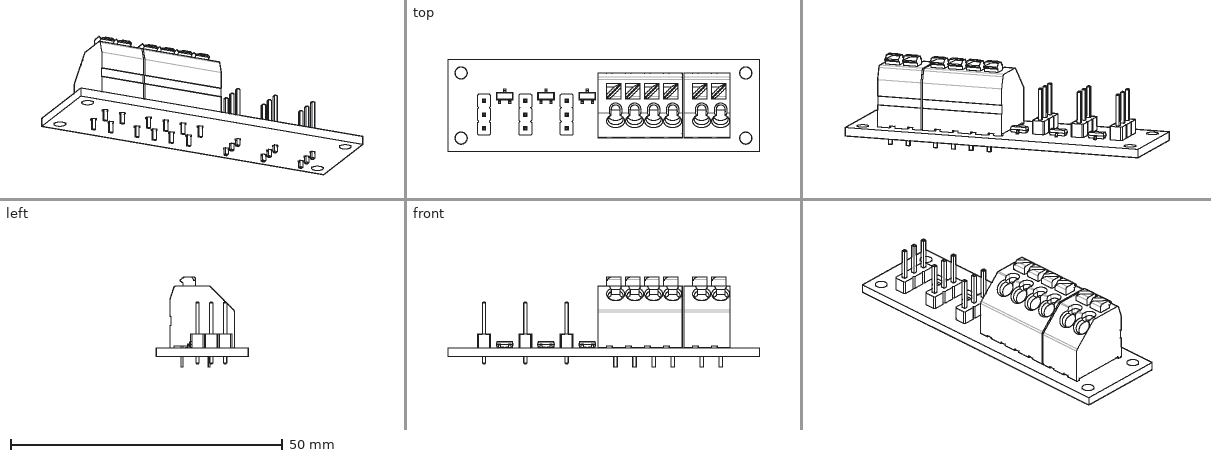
import cadquery as cq
import math


BOARD_LENGTH = 57.5
BOARD_WIDTH = 17.0
BOARD_THICKNESS = 1.6
MOUNT_HOLE_DIAMETER = 2.2
MOUNT_SPACING_X = 52.5
MOUNT_SPACING_Y = 12.0
MOUNT_CENTER_X = -0.05

HEADER_COUNT = 3
HEADER_ROW_SPAN = 15.25
HEADER_SPACING = HEADER_ROW_SPAN / (HEADER_COUNT - 1)
HEADER_PIN_COUNT = 3
HEADER_PITCH = HEADER_SPACING / 3
HEADER_WIDTH = 2.4
HEADER_HEIGHT = 2.55
HEADER_CHAMFER = 0.25
HEADER_PIN_SIZE = 0.65
HEADER_PIN_TOP = 8.45
HEADER_PIN_BOTTOM = -2.95
HEADER_PIN_TIP = 0.2
HEADER_DRILL_DIAMETER = 1.0
HEADER_FIRST_X = -22.1
HEADER_CENTER_Y = -1.65
HEADER_CENTERS_X = [HEADER_FIRST_X + i * HEADER_SPACING for i in range(HEADER_COUNT)]
HEADER_PIN_OFFSETS_Y = [(i - (HEADER_PIN_COUNT - 1) / 2) * HEADER_PITCH for i in range(HEADER_PIN_COUNT)]

TRANSISTOR_CENTERS_X = [x + HEADER_SPACING / 2 for x in HEADER_CENTERS_X]
TRANSISTOR_CENTER_Y = 1.7
TRANSISTOR_LENGTH = 3.1
TRANSISTOR_WIDTH = 1.4
TRANSISTOR_MIDDLE = 0.65
TRANSISTOR_TOP = 1.15
TRANSISTOR_DRAFT = 15
LEAD_WIDTH = 0.4
LEAD_THICKNESS = 0.1
LEAD_KNEE = 1.05
LEAD_REACH = 1.3
LEAD_PITCH = 1.9

POLE_PITCH = 3.5
FOUR_POLE_LEFT_X = -1.1
FOUR_POLE_LENGTH = 15.6
TWO_POLE_LEFT_X = 14.8
TWO_POLE_LENGTH = 8.5
FIRST_BUTTON_X = 2.95
FIRST_ENTRY_X = 3.3
FIRST_SLIT_X = 2.1

BLOCK_FRONT_Y = -6.0
BLOCK_BACK_Y = 6.0
BLOCK_HEIGHT = 11.45
SLOPE_TOP_Y = -1.4
SLOPE_ANGLE = 45
SLOPE_TOP_ROUND = 0.35
SLOPE_BOTTOM_ROUND = 0.6
BACK_SLOPE_TOP_Y = 5.2
BACK_SLOPE_BOTTOM_Z = 8.9
BACK_ROUND = 0.5
FRONT_CHAMFER = 0.1
BACK_GROOVE_DEPTH = 0.2
BACK_GROOVE_BOTTOM = 4.15
BACK_GROOVE_TOP = 5.8

FOOT_HEIGHT = 0.35
FOOT_DEPTH = 0.8
SLIT_WIDTH = 1.05

BLOCK_PIN_WIDTH = 0.7
BLOCK_PIN_THICKNESS = 0.4
BLOCK_PIN_BOTTOM = -3.55
BLOCK_PIN_ROWS_Y = [-1.25, 3.75]
BLOCK_DRILL_DIAMETER = 1.1

BUTTON_WIDTH = 2.7
BUTTON_FRONT_Y = 1.2
BUTTON_BACK_Y = 3.55
BUTTON_TOP = 13.1
BUTTON_ROUND = 0.45
LIP_START_Y = 3.4
LIP_TIP_Y = 4.1
LIP_TIP_TOP = 12.55
LIP_TIP_BOTTOM = 12.3
LIP_ROOT_Z = 12.0
GROOVE_WIDTH = 1.0
GROOVE_FLOOR = 0.2
GROOVE_DEPTH = 0.7
GROOVE_TURN = 45

ENTRY_CENTER_Y = -2.9
ENTRY_RADIUS = 1.65
ENTRY_BORE_RADIUS = 1.4
ENTRY_FLARE_DEPTH = 0.45
ENTRY_DEPTH = 1.55

PROBE_CENTER_Y = -0.7
PROBE_RADIUS = 1.15
PROBE_BORE_RADIUS = 0.8
PROBE_FLARE_DEPTH = 0.7
PROBE_LEDGE_Y = -0.8
PROBE_LINK_END_Y = -2.3


def pole_positions(first, count):
    return [first + i * POLE_PITCH for i in range(count)]


def block_pin_points(left, poles):
    return [(left + x, y) for x in pole_positions(FIRST_ENTRY_X, poles) for y in BLOCK_PIN_ROWS_Y]


def make_board():
    board = cq.Workplane("XY").box(
        BOARD_LENGTH, BOARD_WIDTH, BOARD_THICKNESS, centered=(True, True, False)
    ).translate((0, 0, -BOARD_THICKNESS))
    header_points = [(x, HEADER_CENTER_Y + y) for x in HEADER_CENTERS_X for y in HEADER_PIN_OFFSETS_Y]
    block_points = block_pin_points(FOUR_POLE_LEFT_X, 4) + block_pin_points(TWO_POLE_LEFT_X, 2)
    top = cq.Workplane("XY")
    mounts = (
        top.center(MOUNT_CENTER_X, 0)
        .rarray(MOUNT_SPACING_X, MOUNT_SPACING_Y, 2, 2)
        .circle(MOUNT_HOLE_DIAMETER / 2)
        .extrude(-BOARD_THICKNESS)
    )
    header_drills = top.pushPoints(header_points).circle(HEADER_DRILL_DIAMETER / 2).extrude(-BOARD_THICKNESS)
    block_drills = top.pushPoints(block_points).circle(BLOCK_DRILL_DIAMETER / 2).extrude(-BOARD_THICKNESS)
    return board.cut(mounts).cut(header_drills).cut(block_drills)


def make_header(center_x):
    header = cq.Workplane("XY")
    pin_length = HEADER_PIN_TOP - HEADER_PIN_BOTTOM
    for y in HEADER_PIN_OFFSETS_Y:
        segment = (
            cq.Workplane("XY")
            .box(HEADER_WIDTH, HEADER_PITCH, HEADER_HEIGHT, centered=(True, True, False))
            .edges("|Z")
            .chamfer(HEADER_CHAMFER)
        )
        pin = (
            cq.Workplane("XY", origin=(0, 0, HEADER_PIN_BOTTOM))
            .box(HEADER_PIN_SIZE, HEADER_PIN_SIZE, pin_length, centered=(True, True, False))
            .faces("<Z or >Z")
            .chamfer(HEADER_PIN_TIP)
        )
        header = header.union(segment.union(pin).translate((0, y, 0)))
    return header.translate((center_x, HEADER_CENTER_Y, 0))


def make_lead():
    """Bent lead that leaves the body toward +Y and ends in a flat foot on the board."""
    shoulder_top = TRANSISTOR_MIDDLE + LEAD_THICKNESS / 2
    return (
        cq.Workplane("YZ")
        .moveTo(0, shoulder_top)
        .lineTo(LEAD_KNEE, shoulder_top)
        .lineTo(LEAD_KNEE, LEAD_THICKNESS)
        .lineTo(LEAD_REACH, LEAD_THICKNESS)
        .lineTo(LEAD_REACH, 0)
        .lineTo(LEAD_KNEE - LEAD_THICKNESS, 0)
        .lineTo(LEAD_KNEE - LEAD_THICKNESS, shoulder_top - LEAD_THICKNESS)
        .lineTo(0, shoulder_top - LEAD_THICKNESS)
        .close()
        .extrude(LEAD_WIDTH / 2, both=True)
    )


def make_transistor(center_x):
    upper_half = (
        cq.Workplane("XY")
        .rect(TRANSISTOR_LENGTH, TRANSISTOR_WIDTH)
        .extrude(TRANSISTOR_TOP - TRANSISTOR_MIDDLE, taper=TRANSISTOR_DRAFT)
    )
    body = upper_half.union(upper_half.mirror("XY")).translate((0, 0, TRANSISTOR_MIDDLE))
    back_lead = make_lead()
    front_lead = back_lead.rotate((0, 0, 0), (0, 0, 1), 180)
    body = body.union(back_lead)
    for x in (-LEAD_PITCH / 2, LEAD_PITCH / 2):
        body = body.union(front_lead.translate((x, 0, 0)))
    return body.translate((center_x, TRANSISTOR_CENTER_Y, 0))


def slope_height(y):
    """Height of the 45 degree front slope at y."""
    return BLOCK_HEIGHT + y - SLOPE_TOP_Y


def edge_at(y, z):
    """Picks the lengthwise edge of a block that runs through (y, z)."""
    reach = 0.05
    return cq.selectors.BoxSelector((0, y - reach, z - reach), (FOUR_POLE_LENGTH, y + reach, z + reach))


def make_block_body(length):
    profile = [
        (BLOCK_FRONT_Y, 0),
        (BLOCK_FRONT_Y, slope_height(BLOCK_FRONT_Y)),
        (SLOPE_TOP_Y, BLOCK_HEIGHT),
        (BACK_SLOPE_TOP_Y, BLOCK_HEIGHT),
        (BLOCK_BACK_Y, BACK_SLOPE_BOTTOM_Z),
        (BLOCK_BACK_Y, 0),
    ]
    body = cq.Workplane("YZ").polyline(profile).close().extrude(length)
    body = body.edges(edge_at(SLOPE_TOP_Y, BLOCK_HEIGHT)).fillet(SLOPE_TOP_ROUND)
    body = body.edges(edge_at(BLOCK_FRONT_Y, slope_height(BLOCK_FRONT_Y))).fillet(SLOPE_BOTTOM_ROUND)
    body = body.edges(edge_at(BACK_SLOPE_TOP_Y, BLOCK_HEIGHT)).fillet(BACK_ROUND)
    body = body.edges(edge_at(BLOCK_FRONT_Y, 0)).chamfer(FRONT_CHAMFER)
    back_groove = cq.Workplane("XY").box(
        length, BACK_GROOVE_DEPTH, BACK_GROOVE_TOP - BACK_GROOVE_BOTTOM, centered=False
    ).translate((0, BLOCK_BACK_Y - BACK_GROOVE_DEPTH, BACK_GROOVE_BOTTOM))
    channel = cq.Workplane("XY").box(
        length, BLOCK_BACK_Y - BLOCK_FRONT_Y - 2 * FOOT_DEPTH, FOOT_HEIGHT, centered=False
    ).translate((0, BLOCK_FRONT_Y + FOOT_DEPTH, 0))
    return body.cut(back_groove).cut(channel)


def make_slit():
    """Gap through the front and back feet."""
    return cq.Workplane("XY").box(
        SLIT_WIDTH, BLOCK_BACK_Y - BLOCK_FRONT_Y, FOOT_HEIGHT, centered=(True, False, False)
    ).translate((0, BLOCK_FRONT_Y, 0))


def make_flared_bore(rim_radius, bore_radius, flare_depth, depth):
    """Bore with its rim at z = 0; the flare carries on above the rim to clear the surface."""
    flare_run = rim_radius - bore_radius
    return (
        cq.Workplane("XZ")
        .moveTo(0, -depth)
        .lineTo(bore_radius, -depth)
        .lineTo(bore_radius, -flare_depth)
        .lineTo(rim_radius + flare_run, flare_depth)
        .lineTo(0, flare_depth)
        .close()
        .revolve(360, (0, 0, 0), (0, 1, 0))
    )


def make_probe_link(floor):
    """Slot that carries the probe hole forward, its bottom falling with the floor of the wire entry."""
    profile = [
        (PROBE_LEDGE_Y, floor),
        (PROBE_LEDGE_Y, BLOCK_HEIGHT),
        (PROBE_LINK_END_Y, BLOCK_HEIGHT),
        (PROBE_LINK_END_Y, floor - PROBE_LEDGE_Y + PROBE_LINK_END_Y),
    ]
    slot = cq.Workplane("YZ").polyline(profile).close().extrude(PROBE_BORE_RADIUS, both=True)
    flare_bottom = BLOCK_HEIGHT - PROBE_FLARE_DEPTH
    flare = (
        cq.Workplane("XZ", origin=(0, PROBE_CENTER_Y, 0))
        .moveTo(-PROBE_BORE_RADIUS, flare_bottom)
        .lineTo(PROBE_BORE_RADIUS, flare_bottom)
        .lineTo(PROBE_RADIUS, BLOCK_HEIGHT)
        .lineTo(-PROBE_RADIUS, BLOCK_HEIGHT)
        .close()
        .extrude(PROBE_CENTER_Y - PROBE_LINK_END_Y)
    )
    return slot.union(flare)


def make_wire_entry():
    bore = make_flared_bore(ENTRY_RADIUS, ENTRY_BORE_RADIUS, ENTRY_FLARE_DEPTH, ENTRY_DEPTH)
    bore = bore.rotate((0, 0, 0), (1, 0, 0), SLOPE_ANGLE)
    bore = bore.translate((0, ENTRY_CENTER_Y, slope_height(ENTRY_CENTER_Y)))
    floor = slope_height(PROBE_LEDGE_Y) - ENTRY_DEPTH * math.sqrt(2)
    probe = make_flared_bore(PROBE_RADIUS, PROBE_BORE_RADIUS, PROBE_FLARE_DEPTH, BLOCK_HEIGHT - floor)
    probe = probe.translate((0, PROBE_CENTER_Y, BLOCK_HEIGHT))
    return bore.union(probe).union(make_probe_link(floor))


def make_button():
    profile = [
        (BUTTON_FRONT_Y, BLOCK_HEIGHT),
        (BUTTON_FRONT_Y, BUTTON_TOP),
        (LIP_START_Y, BUTTON_TOP),
        (LIP_TIP_Y, LIP_TIP_TOP),
        (LIP_TIP_Y, LIP_TIP_BOTTOM),
        (BUTTON_BACK_Y, LIP_ROOT_Z),
        (BUTTON_BACK_Y, BLOCK_HEIGHT),
    ]
    button = cq.Workplane("YZ").polyline(profile).close().extrude(BUTTON_WIDTH / 2, both=True)
    button = button.faces("<Y").edges(">Z").fillet(BUTTON_ROUND)
    groove = (
        cq.Workplane("XZ")
        .moveTo(-GROOVE_WIDTH / 2, 0)
        .lineTo(GROOVE_WIDTH / 2, 0)
        .lineTo(GROOVE_FLOOR / 2, -GROOVE_DEPTH)
        .lineTo(-GROOVE_FLOOR / 2, -GROOVE_DEPTH)
        .close()
        .extrude(BUTTON_WIDTH, both=True)
        .rotate((0, 0, 0), (0, 0, 1), -GROOVE_TURN)
        .translate((0, (BUTTON_FRONT_Y + LIP_TIP_Y) / 2, BUTTON_TOP))
    )
    return button.cut(groove)


def make_block_pin():
    return cq.Workplane("XY", origin=(0, 0, BLOCK_PIN_BOTTOM)).box(
        BLOCK_PIN_WIDTH, BLOCK_PIN_THICKNESS, FOOT_HEIGHT - BLOCK_PIN_BOTTOM, centered=(True, True, False)
    )


def make_terminal_block(left, length, poles):
    block = make_block_body(length)
    slit = make_slit()
    entry = make_wire_entry()
    button = make_button()
    pin = make_block_pin()
    for x in pole_positions(FIRST_SLIT_X, poles):
        block = block.cut(slit.translate((x, 0, 0)))
    for x in pole_positions(FIRST_ENTRY_X, poles):
        block = block.cut(entry.translate((x, 0, 0)))
    for x in pole_positions(FIRST_BUTTON_X, poles):
        block = block.union(button.translate((x, 0, 0)))
    for x, y in block_pin_points(0, poles):
        block = block.union(pin.translate((x, y, 0)))
    return block.translate((left, 0, 0))


board = make_board()
headers = [make_header(x) for x in HEADER_CENTERS_X]
transistors = [make_transistor(x) for x in TRANSISTOR_CENTERS_X]
four_pole_block = make_terminal_block(FOUR_POLE_LEFT_X, FOUR_POLE_LENGTH, 4)
two_pole_block = make_terminal_block(TWO_POLE_LEFT_X, TWO_POLE_LENGTH, 2)

result = cq.Compound.makeCompound(
    [
        board.val(),
        *[header.val() for header in headers],
        *[transistor.val() for transistor in transistors],
        four_pole_block.val(),
        two_pole_block.val(),
    ]
)